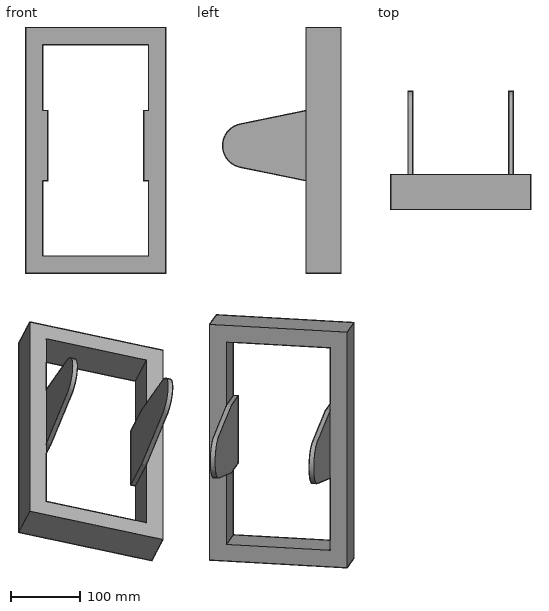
import cadquery as cq
import math

frame_width = 203.0
frame_height = 355.5
frame_depth = 51.0
wall = 25.2

overall_depth = 171.5
lug_thickness = 7.0
lug_root_height = 101.7
lug_center_z = 184.5
lug_tip_radius = 32.0

opening_width = frame_width - 2 * wall
opening_height = frame_height - 2 * wall


def make_frame():
    outer = cq.Workplane("XY").box(
        frame_width, frame_depth, frame_height, centered=(True, False, False)
    )
    opening = (
        cq.Workplane("XY")
        .box(opening_width, frame_depth, opening_height, centered=(True, False, False))
        .translate((0, 0, wall))
    )
    return outer.cut(opening)


def make_lug(start_x):
    """Plate filling the frame depth, then tapering to a tangent round tip."""
    half_root = lug_root_height / 2
    tip_center_y = overall_depth - lug_tip_radius
    taper_length = tip_center_y - frame_depth

    corner_distance = math.hypot(taper_length, half_root)
    corner_angle = math.atan2(half_root, -taper_length)
    tangent_angle = corner_angle - math.acos(lug_tip_radius / corner_distance)
    tangent_y = tip_center_y + lug_tip_radius * math.cos(tangent_angle)
    tangent_z = lug_tip_radius * math.sin(tangent_angle)

    return (
        cq.Workplane("YZ", origin=(start_x, 0, lug_center_z))
        .moveTo(0, -half_root)
        .lineTo(frame_depth, -half_root)
        .lineTo(tangent_y, -tangent_z)
        .threePointArc((overall_depth, 0), (tangent_y, tangent_z))
        .lineTo(frame_depth, half_root)
        .lineTo(0, half_root)
        .close()
        .extrude(lug_thickness)
    )


result = make_frame()
for lug_start_x in (-opening_width / 2, opening_width / 2 - lug_thickness):
    result = result.union(make_lug(lug_start_x))